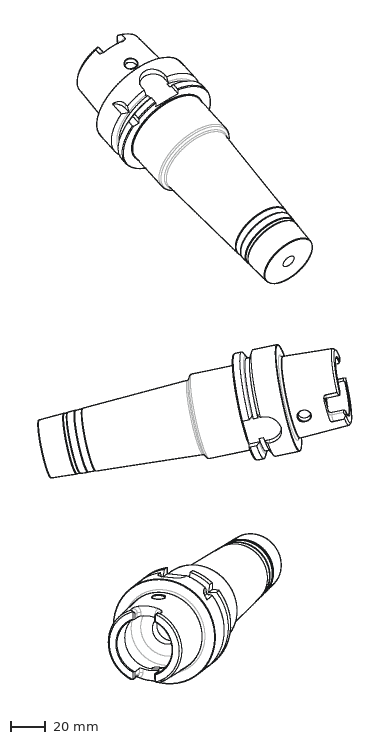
import cadquery as cq
import math


LENGTH = 177.0
FLANGE_R = 63.0 / 2

FLANGE_START = 32.0
RELIEF_R = 48.0 / 2
RELIEF_LENGTH = 1.8
RELIEF_STEP_LENGTH = 0.4
RELIEF_ROUND = 1.2
SHANK_SLOPE = 0.05
SHANK_FRONT_R = 22.7
SHANK_CHAMFER_LENGTH = 1.2
SHANK_CHAMFER_DEPTH = 1.0
TAPER_END = FLANGE_START - RELIEF_LENGTH

FLANGE_END = 58.0
FLANGE_EDGE_CHAMFER = 0.4
FLANGE_REAR_CHAMFER_LENGTH = 0.7
GROOVE_R = 27.5
GROOVE_CENTRE = 50.1
GROOVE_FLOOR_WIDTH = 2.7
GROOVE_FLANK_FOOT_WIDTH = 3.5
GROOVE_TOP_WIDTH = 6.7
GROOVE_FLANK_ANGLE = 60

COLLAR_R = 25.3
COLLAR_LENGTH = 0.7
BODY_R = 50.0 / 2
SHOULDER_START = 85.1
SHOULDER_ANGLE = 60
SHOULDER_ROUND = 1.2

NOSE_ANGLE = 3.1
NOSE_TIP_R = 17.2
NOSE_END_FACE_R = 34.0 / 2
NOSE_TIP_CHAMFER_LENGTH = 0.5
RING_DEPTH = 0.2
RING_WALL_LENGTH = 0.5
RING_SPANS = ((150.3, 155.2), (159.3, 162.0))

MOUTH_R = 34.0 / 2
MOUTH_CHAMFER = 0.5
UNDERCUT_START = 13.0
UNDERCUT_R = 40.0 / 2
CHAMBER_DEPTH = 35.4
CHAMBER_FLOOR_ROUND = 4.2
FLOOR_BORE_R = 17.0 / 2
FLOOR_BORE_DEPTH = 7.0
THROUGH_R = 8.0 / 2

KEY_HALF_WIDTH = 6.0
KEY_DEPTHS = {1: 6.0, -1: 9.5}
KEY_EDGE_ROUND = 2.3
KEY_CORNER_ROUND = 1.6
KEY_MOUTH_CHAMFER = 1.0

CROSS_HOLE_X = 22.8
CROSS_HOLE_D = 7.5
CROSS_HOLE_RIM_D = 8.5

SLOT_START = 36.6
SLOT_FLOOR = 26.5
SLOT_WIDTHS = {1: 16.0, -1: 18.0}
NOTCH_START = 37.0
NOTCH_RADIUS = 8.0
NOTCH_WALL_Y = -20.0
NOTCH_FLOOR_Z = 20.2

SELECTION_MARGIN = 0.2


def nose_radius(x):
    return NOSE_TIP_R + (LENGTH - x) * math.tan(math.radians(NOSE_ANGLE))


def shank_radius(x):
    return SHANK_FRONT_R + SHANK_SLOPE * x


def revolve_about_x(points):
    return cq.Workplane("XY").polyline(points).close().revolve(360, (0, 0, 0), (1, 0, 0))


def cylinder_about_x(start, end, radius):
    return cq.Workplane("YZ", origin=(start, 0, 0)).circle(radius).extrude(end - start)


def circles_between(body, start, end, radius):
    """Circular edges of the body from start to end along X, no larger than the given radius."""
    reach = radius + SELECTION_MARGIN
    zone = cq.selectors.BoxSelector(
        (start - SELECTION_MARGIN, -reach, -reach),
        (end + SELECTION_MARGIN, reach, reach),
        boundingbox=True,
    )
    return body.edges(zone).edges("%CIRCLE")


def turned_body():
    flank_run = (GROOVE_TOP_WIDTH - GROOVE_FLANK_FOOT_WIDTH) / 2
    flank_r = FLANGE_R - flank_run * math.tan(math.radians(GROOVE_FLANK_ANGLE))
    groove_top = GROOVE_TOP_WIDTH / 2
    groove_foot = GROOVE_FLANK_FOOT_WIDTH / 2
    groove_floor = GROOVE_FLOOR_WIDTH / 2

    shoulder_slope = math.tan(math.radians(SHOULDER_ANGLE))
    nose_slope = math.tan(math.radians(NOSE_ANGLE))
    shoulder_run = (BODY_R - nose_radius(SHOULDER_START)) / (shoulder_slope - nose_slope)
    shoulder_end = SHOULDER_START + shoulder_run
    tip_chamfer_x = LENGTH - NOSE_TIP_CHAMFER_LENGTH

    points = [
        (0, 0),
        (0, SHANK_FRONT_R - SHANK_CHAMFER_DEPTH),
        (SHANK_CHAMFER_LENGTH, shank_radius(SHANK_CHAMFER_LENGTH)),
        (TAPER_END, shank_radius(TAPER_END)),
        (TAPER_END + RELIEF_STEP_LENGTH, RELIEF_R),
        (FLANGE_START, RELIEF_R),
        (FLANGE_START, FLANGE_R - FLANGE_EDGE_CHAMFER),
        (FLANGE_START + FLANGE_EDGE_CHAMFER, FLANGE_R),
        (GROOVE_CENTRE - groove_top, FLANGE_R),
        (GROOVE_CENTRE - groove_foot, flank_r),
        (GROOVE_CENTRE - groove_floor, GROOVE_R),
        (GROOVE_CENTRE + groove_floor, GROOVE_R),
        (GROOVE_CENTRE + groove_foot, flank_r),
        (GROOVE_CENTRE + groove_top, FLANGE_R),
        (FLANGE_END - FLANGE_REAR_CHAMFER_LENGTH, FLANGE_R),
        (FLANGE_END, FLANGE_R - FLANGE_EDGE_CHAMFER),
        (FLANGE_END, COLLAR_R),
        (FLANGE_END + COLLAR_LENGTH, COLLAR_R),
        (FLANGE_END + COLLAR_LENGTH, BODY_R),
        (SHOULDER_START, BODY_R),
        (shoulder_end, nose_radius(shoulder_end)),
        (tip_chamfer_x, nose_radius(tip_chamfer_x)),
        (LENGTH, NOSE_END_FACE_R),
        (LENGTH, 0),
    ]
    body = revolve_about_x(points)
    shoulder_edges = circles_between(body, SHOULDER_START, shoulder_end, FLANGE_R)
    body = shoulder_edges.fillet(SHOULDER_ROUND)
    relief_corner = circles_between(body, FLANGE_START, FLANGE_START, RELIEF_R)
    return relief_corner.fillet(RELIEF_ROUND)


def nose_ring(start, end):
    """Shallow ring groove with sloping walls that follows the nose cone."""
    floor_start = start + RING_WALL_LENGTH
    floor_end = end - RING_WALL_LENGTH
    return revolve_about_x([
        (start, nose_radius(start)),
        (start, FLANGE_R),
        (end, FLANGE_R),
        (end, nose_radius(end)),
        (floor_end, nose_radius(floor_end) - RING_DEPTH),
        (floor_start, nose_radius(floor_start) - RING_DEPTH),
    ])


def axial_bores():
    floor_bore_end = CHAMBER_DEPTH + FLOOR_BORE_DEPTH
    mouth = revolve_about_x([
        (0, 0),
        (0, MOUTH_R + MOUTH_CHAMFER),
        (MOUTH_CHAMFER, MOUTH_R),
        (UNDERCUT_START, MOUTH_R),
        (UNDERCUT_START, 0),
    ])
    undercut = cylinder_about_x(UNDERCUT_START, CHAMBER_DEPTH, UNDERCUT_R)
    undercut = undercut.faces(">X").edges().fillet(CHAMBER_FLOOR_ROUND)
    floor_bore = cylinder_about_x(CHAMBER_DEPTH, floor_bore_end, FLOOR_BORE_R)
    through_bore = cylinder_about_x(floor_bore_end, LENGTH, THROUGH_R)
    return mouth.union(undercut).union(floor_bore).union(through_bore)


def keyway(side, depth):
    """Keyway with rounded inner corners, outer edges flared by a convex round, chamfered mouth."""
    centre_y = KEY_HALF_WIDTH + KEY_EDGE_ROUND
    centre_z = math.sqrt((SHANK_FRONT_R - KEY_EDGE_ROUND) ** 2 - centre_y ** 2)
    tangent_y = centre_y * SHANK_FRONT_R / (SHANK_FRONT_R - KEY_EDGE_ROUND)
    tangent_z = centre_z * SHANK_FRONT_R / (SHANK_FRONT_R - KEY_EDGE_ROUND)
    middle_angle = (math.pi + math.atan2(centre_z, centre_y)) / 2
    middle_y = centre_y + KEY_EDGE_ROUND * math.cos(middle_angle)
    middle_z = centre_z + KEY_EDGE_ROUND * math.sin(middle_angle)
    tool = (
        cq.Workplane("YZ")
        .moveTo(-KEY_HALF_WIDTH, 0)
        .lineTo(KEY_HALF_WIDTH, 0)
        .lineTo(KEY_HALF_WIDTH, centre_z)
        .threePointArc((middle_y, middle_z), (tangent_y, tangent_z))
        .lineTo(tangent_y, FLANGE_R)
        .lineTo(-tangent_y, FLANGE_R)
        .lineTo(-tangent_y, tangent_z)
        .threePointArc((-middle_y, middle_z), (-KEY_HALF_WIDTH, centre_z))
        .close()
        .extrude(depth)
    )
    tool = tool.faces(">X").edges("not |Y").fillet(KEY_CORNER_ROUND)
    mouth_half = KEY_HALF_WIDTH + KEY_MOUTH_CHAMFER
    mouth = (
        cq.Workplane("XY")
        .polyline([
            (0, -mouth_half),
            (KEY_MOUTH_CHAMFER, -KEY_HALF_WIDTH),
            (KEY_MOUTH_CHAMFER, KEY_HALF_WIDTH),
            (0, mouth_half),
        ])
        .close()
        .extrude(FLANGE_R)
    )
    tool = tool.union(mouth)
    return tool if side > 0 else tool.mirror("XY")


def cross_hole():
    hole = (
        cq.Workplane("XY", origin=(CROSS_HOLE_X, 0, -FLANGE_R))
        .circle(CROSS_HOLE_D / 2)
        .extrude(2 * FLANGE_R)
    )
    surface_r = shank_radius(CROSS_HOLE_X)
    sink_depth = (CROSS_HOLE_RIM_D - CROSS_HOLE_D) / 2
    sink = (
        cq.Workplane("XY", origin=(CROSS_HOLE_X, 0, surface_r - sink_depth))
        .circle(CROSS_HOLE_D / 2)
        .workplane(offset=sink_depth)
        .circle(CROSS_HOLE_RIM_D / 2)
        .loft()
    )
    return hole.union(sink).union(sink.mirror("XY"))


def open_slot(start, radius, centre_y, floor):
    """Slot along X with a round closed end, running out through the rear face of the flange."""
    centre_x = start + radius
    run_out = FLANGE_END - centre_x
    height = FLANGE_R
    round_end = cq.Workplane("XY", origin=(centre_x, centre_y, floor)).circle(radius).extrude(height)
    channel = cq.Workplane("XY", origin=(centre_x, centre_y, floor)).box(
        run_out, 2 * radius, height, centered=(False, True, False)
    )
    return round_end.union(channel)


result = turned_body().cut(axial_bores())

for ring_start, ring_end in RING_SPANS:
    result = result.cut(nose_ring(ring_start, ring_end))

for key_side, key_depth in KEY_DEPTHS.items():
    result = result.cut(keyway(key_side, key_depth))

result = result.cut(cross_hole())

for slot_side, slot_width in SLOT_WIDTHS.items():
    slot = open_slot(SLOT_START, slot_width / 2, 0, SLOT_FLOOR)
    result = result.cut(slot if slot_side > 0 else slot.mirror("XY"))

result = result.cut(
    open_slot(NOTCH_START, NOTCH_RADIUS, NOTCH_WALL_Y - NOTCH_RADIUS, NOTCH_FLOOR_Z)
)